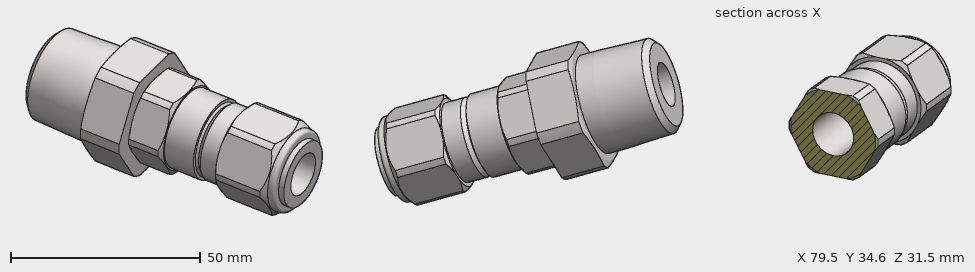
import cadquery as cq
import math


tail_chamfer_end = 1.6
taper_end = 15.2
main_hex_start = 20.4
main_hex_end = 32.9
small_hex_end = 43.4
body_end = 52.5
groove_bottom = 53.1
neck_start = 54.3
nut_start = 59.8
nut_end = 75.9
lip_start = 76.9
collar_end = 77.9
total_length = 79.55

tail_face_radius = 11.4
tail_radius = 13.05
shank_radius = 13.5
body_radius = 11.45
groove_edge_radius = 10.6
groove_radius = 9.95
neck_radius = 11.0
collar_radius = 11.8
end_radius = 9.5
bore_radius = 6.05

main_hex_flats = 31.5
main_hex_corners = 34.6
nut_flats = 24.0
nut_corners = 26.65
main_hex_face_radius = 15.4
hex_front_radius = 12.1
nut_rear_radius = collar_radius
small_hex_rear_radius = 11.9
main_hex_chamfer = 0.5
small_hex_front_chamfer = 0.5
small_hex_rear_chamfer = 0.9
nut_front_chamfer = 0.8
nut_rear_chamfer = 1.4


def revolve_profile(points):
    """Revolve (x, radius) points, closed along the axis, about the X axis."""
    outline = [(points[0][0], 0)] + points + [(points[-1][0], 0)]
    return cq.Workplane("XY").polyline(outline).close().revolve(360, (0, 0, 0), (1, 0, 0))


def chamfered_hex(start, end, flats, corners, front, rear=None):
    """Hexagon with flats facing +Z and -Z, trimmed by a turned envelope.

    front and rear are (face radius, chamfer length along X); without rear, that end stays square.
    """
    sharp_corners = flats / math.cos(math.pi / 6)
    prism = cq.Workplane("YZ", origin=(start, 0, 0)).polygon(6, sharp_corners).extrude(end - start)
    corner_radius = corners / 2
    front_radius, front_length = front
    envelope = [(start, front_radius), (start + front_length, corner_radius)]
    if rear:
        rear_radius, rear_length = rear
        envelope += [(end - rear_length, corner_radius), (end, rear_radius)]
    else:
        envelope.append((end, corner_radius))
    return prism.intersect(revolve_profile(envelope))


core = revolve_profile([
    (0, tail_face_radius),
    (tail_chamfer_end, tail_radius),
    (taper_end, shank_radius),
    (main_hex_start, shank_radius),
    (main_hex_start, body_radius),
    (body_end, body_radius),
    (body_end, groove_edge_radius),
    (groove_bottom, groove_radius),
    (neck_start, neck_radius),
    (nut_end, neck_radius),
    (nut_end, end_radius),
    (total_length, end_radius),
])

collar = cq.Workplane("YZ", origin=(nut_end, 0, 0)).circle(collar_radius).extrude(collar_end - nut_end)
collar = collar.faces(">X").edges().fillet(collar_end - lip_start)

main_hex = chamfered_hex(
    main_hex_start, main_hex_end, main_hex_flats, main_hex_corners,
    (main_hex_face_radius, main_hex_chamfer),
)
small_hex = chamfered_hex(
    main_hex_end, small_hex_end, nut_flats, nut_corners,
    (hex_front_radius, small_hex_front_chamfer),
    (small_hex_rear_radius, small_hex_rear_chamfer),
)
nut = chamfered_hex(
    nut_start, nut_end, nut_flats, nut_corners,
    (hex_front_radius, nut_front_chamfer),
    (nut_rear_radius, nut_rear_chamfer),
)

bore = cq.Workplane("YZ").circle(bore_radius).extrude(total_length)

result = core.union(collar).union(main_hex).union(small_hex).union(nut).cut(bore)